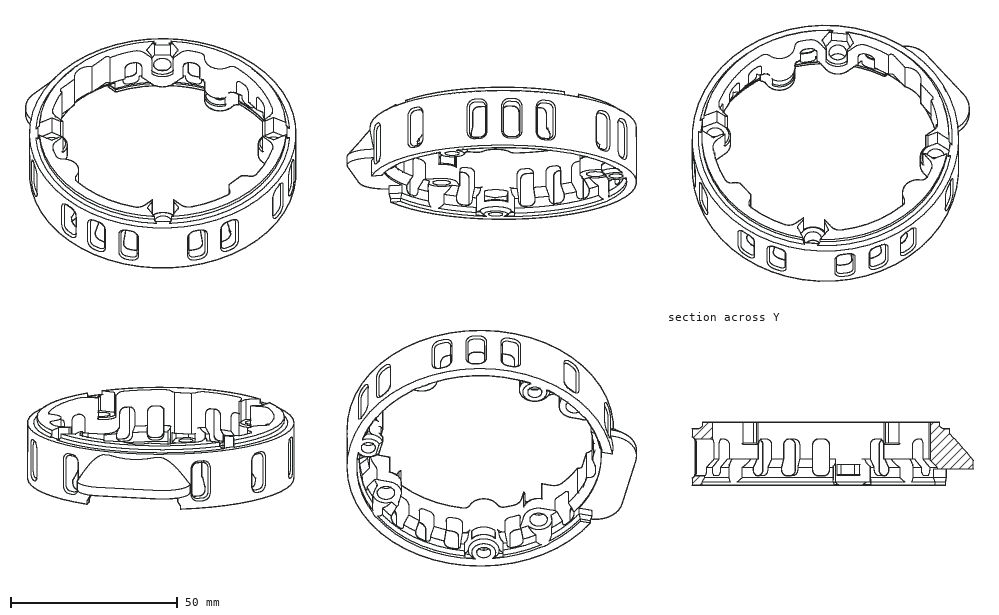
import cadquery as cq
import math

outer_radius = 40.0
total_height = 19.0
shoulder_height = 17.1
rim_radius = 37.1
rim_base_radius = 38.1
rim_flare_height = 0.7

bore_radius = 34.0
bore_bottom = 7.9
skirt_radius = 36.3
skirt_top = 5.4
lip_chamfer_top = 2.4
lip_radius = 37.1
lip_height = 1.0

screw_offset = 23.5
post_radius = 4.6
post_face = screw_offset - post_radius
post_fillet = 3.4
post_top = 12.8
post_chamfer = 0.5
screw_hole = 5.2
nut_apothem = 4.08
post_clearance_radius = 4.0
post_opening = 6.35

column_angles = (0, 105, 255)
column_circle = 34.5
column_fillet = 2.0
foot_half_width = 5.75
foot_chamfer = 1.0
column_flat = 30.65
trap_apothem = 3.5
trap_bottom = 3.35
trap_top = 6.35
trap_chamfer = 0.35
clamp_hole = 4.2

window_angles = (15, 30, 60, 75, 90, 120, 150)
window_width = 5.0
window_bottom = 2.9
window_top = 13.9
window_radius = 1.7
window_chamfer = 0.7

spout_reach = 45.85
spout_half_width = 17.1
spout_radius = 8.15
spout_bottom = 4.9
spout_edge_top = 7.55
spout_top = 16.05
spout_top_reach = 39.4
spout_top_half_width = 11.25
spout_top_radius = 4.1
passage_half_width = 13.6
passage_flare = 14.3
flat_x = -33.6
flat_half_width = 10.2
flat_fillet = 0.9
notch_radius = 4.6
notch_depth_x = -35.5

touch = 0.1


def cylinder(radius, bottom, top, x=0.0, y=0.0):
    return cq.Workplane("XY", origin=(x, y, bottom)).circle(radius).extrude(top - bottom)


def block(x_range, y_range, z_range):
    size = [high - low for low, high in (x_range, y_range, z_range)]
    start = (x_range[0], y_range[0], z_range[0])
    return cq.Workplane("XY", origin=start).box(*size, centered=False)


def turn(shape, angle):
    return shape.rotate((0, 0, 0), (0, 0, 1), angle)


def hexagon_prism(apothem, bottom, top, x, turned=0.0):
    """Hexagon with a corner towards +X, or turned about its own axis."""
    across_corners = 2 * apothem / math.cos(math.pi / 6)
    prism = cq.Workplane("XY").polygon(6, across_corners).extrude(top - bottom)
    return turn(prism, turned).translate((x, 0, bottom))


def ring_body():
    profile = [
        (0, 0),
        (outer_radius, 0),
        (outer_radius, shoulder_height),
        (rim_base_radius, shoulder_height),
        (rim_radius, shoulder_height + rim_flare_height),
        (rim_radius, total_height),
        (0, total_height),
    ]
    return cq.Workplane("XZ").polyline(profile).close().revolve(360, (0, 0), (0, 1))


def spout_outline(reach, half_width, radius):
    """Plan of the spout: a rectangle about the ring axis with rounded corners."""
    return cq.Sketch().rect(2 * reach, 2 * half_width).vertices().fillet(radius)


def spout():
    base = spout_outline(spout_reach, spout_half_width, spout_radius)
    top = spout_outline(spout_top_reach, spout_top_half_width, spout_top_radius)
    top = top.moved(cq.Location(cq.Vector(0, 0, spout_top - spout_edge_top)))
    edge = (
        cq.Workplane("XY", origin=(0, 0, spout_bottom))
        .placeSketch(base).extrude(spout_edge_top - spout_bottom)
    )
    hood = cq.Workplane("XY", origin=(0, 0, spout_edge_top)).placeSketch(base, top).loft(ruled=True)
    left_half = block((-spout_reach, 0), (-spout_half_width, spout_half_width), (0, total_height))
    return edge.union(hood).intersect(left_half)


def at_columns(shape):
    """Copies of a +X shape at all three column angles."""
    copies = cq.Workplane("XY")
    for angle in column_angles:
        copies = copies.add(turn(shape, angle))
    return copies.combine()


def columns(bottom, top):
    shape = at_columns(cylinder(post_radius, bottom, top, column_circle))
    return shape.cut(block((0, column_flat), (-post_radius, post_radius), (bottom, top)))


def around_columns(radius, bottom, top):
    """Round opening with the clamp columns left standing and blended into its wall."""
    def meets_wall(edge):
        return abs(math.hypot(edge.Center().x, edge.Center().y) - radius) < touch

    void = cylinder(radius, bottom, top).cut(columns(bottom, top))
    return void.edges("|Z").filter(meets_wall).fillet(column_fillet)


def around_posts():
    """Bore with the four screw posts left standing and blended into its wall."""
    def meets_wall(edge):
        center = edge.Center()
        at_post = min(abs(center.x), abs(center.y)) > post_face - touch
        return at_post and abs(math.hypot(center.x, center.y) - bore_radius) < touch

    post = (
        block((post_face, outer_radius), (post_face, outer_radius), (bore_bottom, total_height))
        .edges("|Z and <X and <Y").fillet(post_radius)
    )
    void = cylinder(bore_radius, bore_bottom, total_height)
    for quarter in range(4):
        void = void.cut(turn(post, 90 * quarter))
    return void.edges("|Z").filter(meets_wall).fillet(post_fillet)


def bore():
    """Opening above the skirt, with a flat stretch of wall on the -X side."""
    void = around_posts().intersect(around_columns(bore_radius, bore_bottom, total_height))
    flat_width = (-flat_half_width, flat_half_width)
    height = (bore_bottom, total_height)
    void = void.cut(block((-outer_radius, flat_x), flat_width, height))
    return void.union(block((flat_x, 0), flat_width, height).edges("|Z and <X").fillet(flat_fillet))


def column_feet():
    """Lower ends of the columns, blended into the skirt and chamfered below."""
    outside = lip_radius + foot_chamfer
    blend = cylinder(outside, foot_chamfer, bore_bottom)
    blend = blend.cut(around_columns(skirt_radius, foot_chamfer, bore_bottom))
    base = cylinder(outside, 0, foot_chamfer).cut(
        cq.Workplane("XY").circle(skirt_radius + foot_chamfer).extrude(foot_chamfer, taper=45))
    sector = block((0, outer_radius), (-foot_half_width, foot_half_width), (0, bore_bottom))
    feet = blend.union(base).intersect(at_columns(sector))

    pillar = cylinder(post_radius, 0, bore_bottom, column_circle).faces("<Z").chamfer(foot_chamfer)
    beyond_flat = (
        cq.Workplane("XZ", origin=(0, post_radius, 0))
        .polyline([(0, 0), (column_flat + foot_chamfer, 0), (column_flat, foot_chamfer),
                   (column_flat, bore_bottom), (0, bore_bottom)]).close()
        .extrude(2 * post_radius)
    )
    return feet.union(at_columns(pillar).cut(beyond_flat))


def skirt_void():
    profile = [
        (0, 0),
        (lip_radius, 0),
        (lip_radius, lip_height),
        (skirt_radius, lip_chamfer_top),
        (skirt_radius, skirt_top),
        (bore_radius, bore_bottom),
        (0, bore_bottom),
    ]
    return cq.Workplane("XZ").polyline(profile).close().revolve(360, (0, 0), (0, 1))


def window():
    """One window cutter pointing along +X, chamfered at the outer wall."""
    height = window_top - window_bottom
    middle = (window_top + window_bottom) / 2
    inner_x = post_face + post_radius
    cutter = (
        block((inner_x, outer_radius + 0.9), (-window_width / 2, window_width / 2), (window_bottom, window_top))
        .edges("|X").fillet(window_radius)
    )
    opening = (
        cq.Sketch()
        .rect(window_width + 2 * window_chamfer, height + 2 * window_chamfer)
        .vertices().fillet(window_radius + window_chamfer)
    )
    mouth = (
        cq.Workplane("YZ", origin=(outer_radius, 0, middle))
        .placeSketch(opening).extrude(-window_chamfer, taper=45)
    )
    return cutter.union(mouth)


def screw_post_cut():
    """Nut seat, screw hole and clearance below a post, laid out on +X."""
    axis = screw_offset * math.sqrt(2)
    seat = hexagon_prism(nut_apothem, post_top, total_height, axis, 30)
    corner = nut_apothem / math.cos(math.pi / 6)
    opening = block((axis - 2 * post_radius, axis), (-post_opening / 2, post_opening / 2),
                    (post_top - post_chamfer, total_height))
    kept_post = cylinder(post_radius, 0, post_top, axis).faces(">Z").chamfer(post_chamfer)
    opening = opening.cut(kept_post)
    rim_gap = (
        cq.Workplane("XY", origin=(0, 0, shoulder_height))
        .polyline([(axis, corner), (axis, -corner), (axis + 2 * nut_apothem, 0)]).close()
        .extrude(total_height - shoulder_height)
    )
    hole = cylinder(screw_hole / 2, 0, total_height, axis)
    clearance = cylinder(post_clearance_radius, 0, bore_bottom, axis)
    return seat.union(opening).union(rim_gap).union(hole).union(clearance)


def nut_traps():
    """Nut slots of the clamp columns, entered from the bore side."""
    slot = hexagon_prism(trap_apothem, trap_bottom, trap_top, column_circle)
    entry = block((column_circle - 2 * post_radius, column_circle),
                  (-trap_apothem, trap_apothem), (trap_bottom - trap_chamfer, trap_top))
    slot = slot.union(entry)
    floors = columns(0, trap_bottom).faces(">Z").chamfer(trap_chamfer)
    return at_columns(slot).cut(floors)


def cable_passage():
    section = [
        (-passage_flare, 0), (-passage_flare, lip_height),
        (-passage_half_width, lip_chamfer_top), (-passage_half_width, spout_bottom),
        (passage_half_width, spout_bottom), (passage_half_width, lip_chamfer_top),
        (passage_flare, lip_height), (passage_flare, 0),
    ]
    return cq.Workplane("YZ").polyline(section).close().extrude(-spout_reach)


result = ring_body().union(spout()).cut(bore()).cut(skirt_void())
result = result.union(column_feet()).cut(nut_traps())
clamp_bore = cylinder(clamp_hole / 2, 0, trap_top, column_circle)
result = result.cut(at_columns(clamp_bore))
for quarter in range(4):
    result = result.cut(turn(screw_post_cut(), 45 + 90 * quarter))
for angle in window_angles:
    result = result.cut(turn(window(), angle)).cut(turn(window(), -angle))
result = result.cut(cable_passage())
result = result.cut(cylinder(notch_radius, 0, total_height, notch_depth_x + notch_radius))